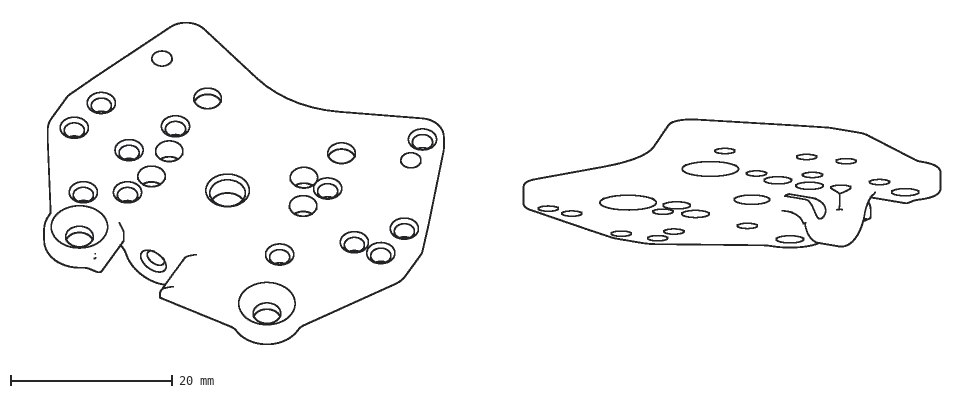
import cadquery as cq
import math

plate_thickness = 3.0
edge_radius = 0.5
half_width = 25.065
corner_point = (18.28, 23.5)
corner_radius = 3.0
valley_depth_y = 15.9
valley_radius = 15.0
knee_point = (23.6, 8.8)
knee_radius = 50.0
side_top_y = 4.5
side_top_radius = 2.0
side_bottom_y = -0.735
side_bottom_radius = 3.5
ear_x = 13.25
ear_y = -14.1
ear_radius = 4.4
ear_neck_y = -13.4
ear_neck_radius = 2.0
ear_root_radius = 1.75
front_edge_y = -17.55

hole_chamfer = 0.5
screw_diameter = 2.5
centre_diameter = 4.4
clearance_diameter = 3.4
screw_head_diameter = 7.0
plain_screw_holes = [(-17.59, 15.26), (17.59, 15.26)]
chamfered_screw_holes = [
    (17.2, 18.98),
    (-20.68, 5.2), (22.29, 4.95),
    (-10.75, 6.22), (10.75, 6.22), (-10.75, -6.22), (10.75, -6.22),
    (-21.66, 0), (-13.92, 0), (17.92, 0), (21.66, 0),
    (-15.57, -8.83),
]
underside_sunk_holes = [(-9.46, 12.19), (9.46, 12.19)]
clearance_holes = [
    (-9.46, 2.24), (9.46, 2.24),
    (7.3, 6.4), (-9.4, -2.47),
]

tab_radius = 4.2
tab_x = -tab_radius
tab_z = -1.08
tab_front_y = -11.52
tab_thickness = 4.0
tab_back_y = tab_front_y + tab_thickness
tab_flare_radius = 3.0
tab_back_radius = 2.0
tab_edge_radius = 0.5
pivot_diameter = 2.4
pivot_chamfer = 0.6
notch_left_radius = 1.0
notch_right_radius = 2.0
notch_left_x = tab_x - tab_radius
notch_right_x = tab_x + tab_radius

margin = 5.0
diagonal = math.sqrt(0.5)
drill_length = tab_thickness + margin


def round_corner(solid, x, y, radius):
    """Round the vertical edge that stands at (x, y)."""
    reach = 0.05
    picker = cq.selectors.BoxSelector((x - reach, y - reach, 0), (x + reach, y + reach, plate_thickness))
    return solid.edges("|Z").edges(picker).fillet(radius)


def corner_arc(before, corner, after, radius):
    """Start, middle and end of the arc that rounds a corner of a polyline."""
    corner = cq.Vector(*corner)
    inward = (cq.Vector(*before) - corner).normalized()
    outward = (cq.Vector(*after) - corner).normalized()
    half_angle = inward.getAngle(outward) / 2
    setback = radius / math.tan(half_angle)
    middle_offset = radius / math.sin(half_angle) - radius
    points = [
        corner + inward * setback,
        corner + (inward + outward).normalized() * middle_offset,
        corner + outward * setback,
    ]
    return [(point.x, point.y) for point in points]


def make_plate():
    """Butterfly-shaped plate, mirror-symmetric about x = 0, with all rims rounded."""
    ear_end_x = ear_x - math.sqrt(ear_radius**2 - (front_edge_y - ear_y) ** 2)
    ear_diagonal = ear_radius * diagonal
    ear_outer_x = ear_x + ear_radius
    inner_angle = math.acos((ear_y - front_edge_y) / ear_radius) / 2
    knee_start, knee_middle, knee_end = corner_arc(
        corner_point, knee_point, (half_width, side_top_y), knee_radius
    )
    half = (
        cq.Workplane("XY")
        .moveTo(0, valley_depth_y)
        .lineTo(*corner_point)
        .lineTo(*knee_start)
        .threePointArc(knee_middle, knee_end)
        .lineTo(half_width, side_top_y)
        .lineTo(half_width, side_bottom_y)
        .lineTo(ear_outer_x, ear_neck_y)
        .lineTo(ear_outer_x, ear_y)
        .threePointArc((ear_x + ear_diagonal, ear_y - ear_diagonal), (ear_x, ear_y - ear_radius))
        .threePointArc(
            (ear_x - ear_radius * math.sin(inner_angle), ear_y - ear_radius * math.cos(inner_angle)),
            (ear_end_x, front_edge_y),
        )
        .lineTo(0, front_edge_y)
        .close()
        .extrude(plate_thickness)
    )
    plate = half.union(half.mirror("YZ")).clean()
    plate = round_corner(plate, 0, valley_depth_y, valley_radius)
    corners = [
        (corner_point, corner_radius),
        ((half_width, side_top_y), side_top_radius),
        ((half_width, side_bottom_y), side_bottom_radius),
        ((ear_outer_x, ear_neck_y), ear_neck_radius),
        ((ear_end_x, front_edge_y), ear_root_radius),
    ]
    for (x, y), radius in corners:
        for side in (-1, 1):
            plate = round_corner(plate, side * x, y, radius)
    return plate.faces("<Z or >Z").edges().fillet(edge_radius)


def make_notch():
    """Notch cutter whose left, right and back walls flare outward at the top of the plate."""
    left, right, back = notch_left_radius, notch_right_radius, edge_radius
    top = plate_thickness
    across = (
        cq.Workplane("XZ", origin=(0, front_edge_y - margin, 0))
        .moveTo(notch_left_x, -margin)
        .lineTo(notch_left_x, top - left)
        .threePointArc((notch_left_x - left + left * diagonal, top - left + left * diagonal),
                       (notch_left_x - left, top))
        .lineTo(notch_right_x + right, top)
        .threePointArc((notch_right_x + right - right * diagonal, top - right + right * diagonal),
                       (notch_right_x, top - right))
        .lineTo(notch_right_x, -margin)
        .close()
        .extrude(-(tab_front_y + back - front_edge_y + margin))
    )
    along = (
        cq.Workplane("YZ", origin=(notch_left_x - margin, 0, 0))
        .moveTo(front_edge_y - margin, -margin)
        .lineTo(tab_front_y, -margin)
        .lineTo(tab_front_y, top - back)
        .threePointArc((tab_front_y + back - back * diagonal, top - back + back * diagonal),
                       (tab_front_y + back, top))
        .lineTo(front_edge_y - margin, top)
        .close()
        .extrude(notch_right_x - notch_left_x + 2 * margin)
    )
    return across.intersect(along)


def make_tab():
    """Round hinge tab that flares into the underside of the plate at both sides and at the back."""
    flare_z = -tab_flare_radius
    centre_distance = tab_radius + tab_flare_radius
    flare_dx = math.sqrt(centre_distance**2 - (flare_z - tab_z) ** 2)
    join_dx = flare_dx * tab_radius / centre_distance
    join_z = tab_z + (flare_z - tab_z) * tab_radius / centre_distance
    join_angle = math.atan2(tab_z - flare_z, -flare_dx)
    mid_angle = (join_angle + math.pi / 2) / 2
    mid_dx = flare_dx + tab_flare_radius * math.cos(mid_angle)
    mid_z = flare_z + tab_flare_radius * math.sin(mid_angle)
    roof = plate_thickness / 2
    tab_middle_y = tab_front_y + tab_thickness / 2
    depth = tab_thickness + tab_back_radius

    def profile(length):
        """Front outline of the tab, extended up into the plate and extruded backward."""
        return (
            cq.Workplane("XZ", origin=(tab_x, tab_front_y, 0))
            .moveTo(-flare_dx, roof)
            .lineTo(-flare_dx, 0)
            .threePointArc((-mid_dx, mid_z), (-join_dx, join_z))
            .threePointArc((0, tab_z - tab_radius), (join_dx, join_z))
            .threePointArc((mid_dx, mid_z), (flare_dx, 0))
            .lineTo(flare_dx, roof)
            .close()
            .extrude(-length)
        )

    rims = cq.selectors.BoxSelector(
        (tab_x - flare_dx, tab_front_y - margin, tab_z - tab_radius),
        (tab_x + flare_dx, tab_back_y + margin, 0),
    )
    tab = profile(tab_thickness).faces("<Y or >Y").edges(rims).fillet(tab_edge_radius)
    back_flare = (
        cq.Workplane("YZ", origin=(tab_x - flare_dx, 0, 0))
        .moveTo(tab_middle_y, roof)
        .lineTo(tab_back_y + tab_back_radius, roof)
        .lineTo(tab_back_y + tab_back_radius, 0)
        .threePointArc((tab_back_y + tab_back_radius * (1 - diagonal), -tab_back_radius * (1 - diagonal)),
                       (tab_back_y, -tab_back_radius))
        .lineTo(tab_middle_y, -tab_back_radius)
        .close()
        .extrude(2 * flare_dx)
        .intersect(profile(depth))
    )
    return tab.union(back_flare)


def drill(solid, origin, inward, diameter, sink_diameter=None):
    """Cut a round hole from a surface point along a direction, with an optional 45 degree countersink."""
    start = cq.Vector(*origin)
    direction = cq.Vector(*inward)
    radius = diameter / 2
    solid = solid.cut(cq.Workplane(cq.Solid.makeCylinder(radius, drill_length, start, direction)))
    if sink_diameter is not None:
        sink_radius = sink_diameter / 2
        sink = cq.Solid.makeCone(sink_radius, radius, sink_radius - radius, start, direction)
        solid = solid.cut(cq.Workplane(sink))
    return solid


def drill_plate(solid, points, diameter, sink_diameter=None):
    """Drill the same hole down through the plate at every (x, y) point."""
    for x, y in points:
        solid = drill(solid, (x, y, plate_thickness), (0, 0, -1), diameter, sink_diameter)
    return solid


body = make_plate().cut(make_notch())
body = round_corner(body, notch_left_x, front_edge_y, edge_radius)
body = body.union(make_tab())

body = drill_plate(body, plain_screw_holes, screw_diameter)
body = drill_plate(body, chamfered_screw_holes, screw_diameter, screw_diameter + 2 * hole_chamfer)
body = drill_plate(body, clearance_holes, clearance_diameter)
body = drill_plate(body, [(0, 0)], centre_diameter, centre_diameter + 2 * hole_chamfer)
body = drill_plate(body, [(-ear_x, ear_y), (ear_x, ear_y)], clearance_diameter, screw_head_diameter)
for x, y in underside_sunk_holes:
    body = drill(body, (x, y, 0), (0, 0, 1), clearance_diameter, screw_head_diameter)

pivot_sink_diameter = pivot_diameter + 2 * pivot_chamfer
result = drill(body, (tab_x, tab_front_y, tab_z), (0, 1, 0), pivot_diameter, pivot_sink_diameter)